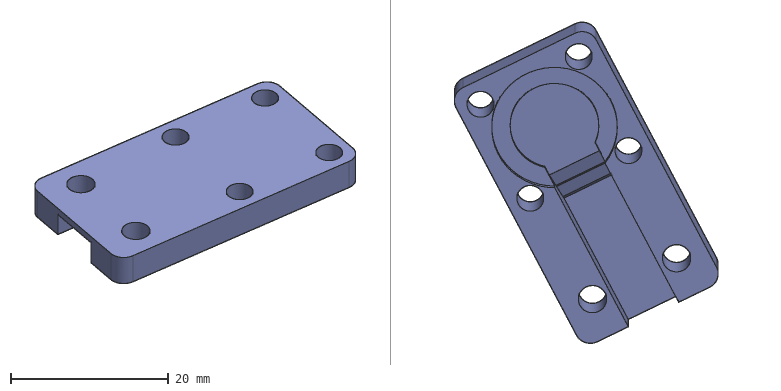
import cadquery as cq
import math

width = 20.0
length = 37.85
thickness = 4.2
corner_radius = 2.0

mount_diameter = 3.4
mount_spacing = 14.0
pocket_center_y = 8.95

front_hole_diameter = 3.6
front_hole_spacing = 12.0
front_hole_y = -13.6

rim_radius = 8.0
rim_depth = 0.72
core_radius = 5.65
core_depth = 1.17

channel_width = 7.2
channel_height = 3.2
steep_angle = 45.0
shallow_angle = 22.5
ramps = [
    (2.88, steep_angle),
    (2.15, shallow_angle),
    (1.93, steep_angle),
    (core_depth, shallow_angle),
]


def through_holes(points, diameter):
    return cq.Workplane("XY").pushPoints(points).circle(diameter / 2).extrude(thickness)


def round_pocket(radius, depth):
    return cq.Workplane("XY").center(0, pocket_center_y).circle(radius).extrude(depth)


def ceiling_points():
    """Ceiling corners as (y, z), with the last ramp ending at the rim of the pocket's core."""
    heights = [channel_height] + [height for height, _ in ramps]
    runs = [
        (above - below) / math.tan(math.radians(angle))
        for above, (below, angle) in zip(heights, ramps)
    ]
    y = pocket_center_y - core_radius - sum(runs)
    points = [(y, channel_height)]
    for run, (height, _) in zip(runs, ramps):
        y += run
        points.append((y, height))
    return points


def channel():
    front_y = -length / 2
    outline = [(front_y, 0), (front_y, channel_height)]
    outline += ceiling_points()
    outline += [(pocket_center_y, core_depth), (pocket_center_y, 0)]
    return cq.Workplane("YZ").polyline(outline).close().extrude(channel_width / 2, both=True)


plate = (
    cq.Workplane("XY")
    .box(width, length, thickness, centered=(True, True, False))
    .edges("|Z")
    .fillet(corner_radius)
)

mount_points = [
    (side * mount_spacing / 2, pocket_center_y + end * mount_spacing / 2)
    for side in (-1, 1)
    for end in (-1, 1)
]
front_points = [(side * front_hole_spacing / 2, front_hole_y) for side in (-1, 1)]

result = (
    plate
    .cut(round_pocket(rim_radius, rim_depth))
    .cut(round_pocket(core_radius, core_depth))
    .cut(channel())
    .cut(through_holes(mount_points, mount_diameter))
    .cut(through_holes(front_points, front_hole_diameter))
)